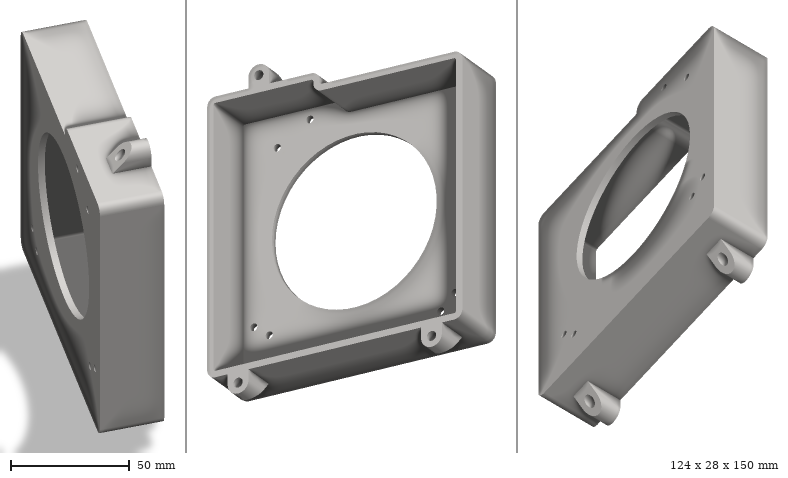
import cadquery as cq

width = 124.0
depth = 28.0
total_height = 150.0
lug_width = 10.0
lug_height = lug_width
body_height = total_height - 2 * lug_height
step_x = 69.5
step_height = 6.0
corner_radius = 4.0
step_root_radius = 1.0

wall = 3.0
plate_thickness = 3.0

opening_radius = 40.0
opening_center = (67.0, 70.0)
screw_hole_diameter = 3.5
screw_hole_centers = [
    (88.6, 122.0), (104.5, 112.5),
    (18.2, 25.6), (25.0, 18.6),
    (108.5, 26.7), (116.0, 32.1),
]

lug_tip_depth = 7.5
lug_base_depth = 17.1
lug_hole_diameter = 4.5
top_lug_x = 99.0
bottom_lug_xs = (15.0, 109.0)


def extrude_back(sketch, start, length):
    """Extrude an XZ sketch from Y = start towards +Y."""
    return sketch.extrude(-length).translate((0, start, 0))


def edge_at(x, z):
    """Select the edge running along Y through the outline corner (x, z)."""
    margin = 0.2
    return cq.selectors.BoxSelector(
        (x - margin, -margin, z - margin), (x + margin, depth + margin, z + margin)
    )


def make_stepped_block(inset, front):
    """Rounded stepped block, shrunk inwards by inset, from Y = front to the back."""
    left = inset
    right = width - inset
    bottom = inset
    top = body_height - inset
    low_top = top - step_height
    step = step_x + inset
    right_corners = [(left, bottom), (right, bottom), (right, top), (step, top)]
    step_root = (step, low_top)
    low_corner = (left, low_top)
    outline = right_corners + [step_root, low_corner]

    block = extrude_back(cq.Workplane("XZ").polyline(outline).close(), front, depth - front)
    block = block.edges(edge_at(*step_root)).fillet(step_root_radius + inset)
    for corner in right_corners + [low_corner]:
        block = block.edges(edge_at(*corner)).fillet(corner_radius - inset)
    return block


def make_lug(x, base_z, direction):
    """Rounded lug pointing up (direction 1) or down (direction -1)."""
    radius = lug_width / 2
    eye_z = base_z + direction * (lug_height - radius)
    root_z = base_z - direction * wall / 2
    tip_z = base_z + direction * lug_height
    profile = (
        cq.Workplane("XZ")
        .moveTo(x - radius, root_z)
        .lineTo(x - radius, eye_z)
        .threePointArc((x, tip_z), (x + radius, eye_z))
        .lineTo(x + radius, root_z)
        .close()
    )
    lug = extrude_back(profile, depth - lug_base_depth, lug_base_depth)
    side = [
        (depth, root_z), (depth, tip_z), (depth - lug_tip_depth, tip_z),
        (depth - lug_base_depth, base_z), (depth - lug_base_depth, root_z),
    ]
    slope = (
        cq.Workplane("YZ").workplane(offset=x - radius)
        .polyline(side).close().extrude(lug_width)
    )
    eye = extrude_back(cq.Workplane("XZ").center(x, eye_z).circle(lug_hole_diameter / 2), 0, depth)
    return lug.intersect(slope).cut(eye)


housing = make_stepped_block(0, 0)
housing = housing.cut(make_stepped_block(wall, plate_thickness))
opening = cq.Workplane("XZ").center(*opening_center).circle(opening_radius)
housing = housing.cut(extrude_back(opening, 0, plate_thickness))
screw_holes = cq.Workplane("XZ").pushPoints(screw_hole_centers).circle(screw_hole_diameter / 2)
housing = housing.cut(extrude_back(screw_holes, 0, plate_thickness))

housing = housing.union(make_lug(top_lug_x, body_height, 1))
for lug_x in bottom_lug_xs:
    housing = housing.union(make_lug(lug_x, 0, -1))

result = housing